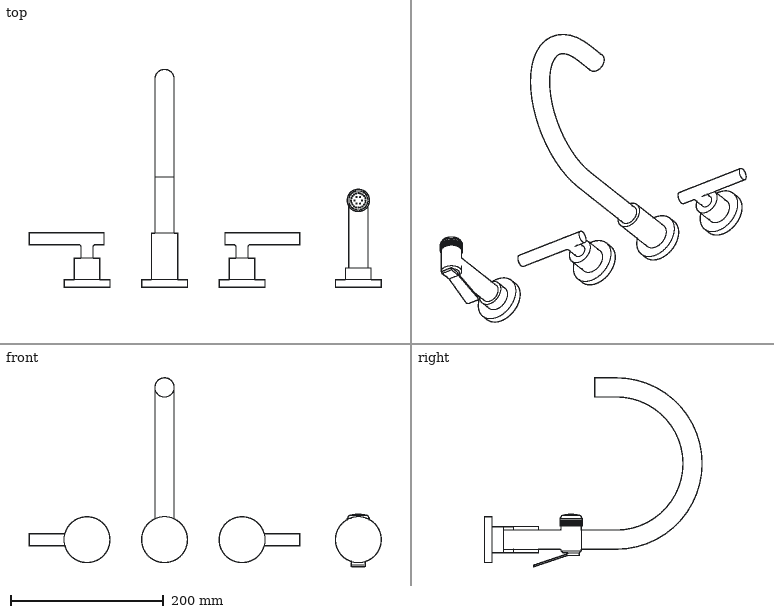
import cadquery as cq
import math


handle_pitch = 101.6
spray_pitch = 152.4
spray_x = handle_pitch + spray_pitch

flange_radius = 30.2
flange_thickness = 10.16
collar_radius = 16.9
handle_collar_top = 38.1
spray_collar_top = 25.4

tube_radius = 12.7
sleeve_radius = 17.4
sleeve_top = 71.12
bend_radius = 99.8
spout_reach = 285.69
bend_start = spout_reach - tube_radius - bend_radius
outlet_length = 28.5

bar_radius = 8.0
bar_y = 63.6
bar_short_end = 22.4
bar_long_end = 75.88
stem_radius = 8.0
stem_fillet = 2.5

head_y = 113.9
head_radius = 13.4
head_top = 17.8
head_bottom = -17.3
head_chamfer = 2.7
head_fillet = 1.5

nozzle_radius = 14.7
nozzle_top = 33.5
knurl_top = 25.6
nozzle_shoulder = 27.6
crown_radius = 12.5
crown_edge = 31.6
flute_count = 40
flute_radius = 0.6
jet_radius = 0.7
jet_depth = 4.0
jet_rings = ((4.9, 6), (9.6, 20))

lever_tip_y = 64.6
lever_tip_bottom = -35.72
lever_thickness = 2.3
lever_angle = 18.5
lever_root_width = 15.0
lever_tip_width = 19.4
lever_corner = 3.0
pad_bottom = -20.9
pad_back_y = head_y + 10.6
pad_front_y = head_y - 4.8


def cylinder_y(x, radius, start, end):
    """Cylinder along Y, centred on the height Z = 0."""
    return cq.Workplane("XZ", origin=(x, start, 0)).circle(radius).extrude(start - end)


def wall_mount(x, radius, top):
    """Wall flange with a plain collar on it."""
    flange = cylinder_y(x, flange_radius, 0, flange_thickness)
    return flange.union(cylinder_y(x, radius, flange_thickness, top))


def make_spout():
    path = (
        cq.Workplane("YZ")
        .moveTo(sleeve_top, 0)
        .lineTo(bend_start, 0)
        .threePointArc((bend_start + bend_radius, bend_radius), (bend_start, 2 * bend_radius))
        .lineTo(bend_start - outlet_length, 2 * bend_radius)
    )
    tube = cq.Workplane("XZ", origin=(0, sleeve_top, 0)).circle(tube_radius).sweep(path)
    return wall_mount(0, sleeve_radius, sleeve_top).union(tube)


def make_handle(x, mirrored):
    """Handle whose long end points along -X, or along +X when mirrored."""
    bar = (
        cq.Workplane("YZ", origin=(-bar_long_end, bar_y, 0))
        .circle(bar_radius)
        .extrude(bar_long_end + bar_short_end)
    )
    stem = cylinder_y(0, stem_radius, handle_collar_top, bar_y)
    joint_reach = 1.5 * stem_radius
    joint = cq.selectors.BoxSelector(
        (-joint_reach, bar_y - joint_reach, -joint_reach),
        (joint_reach, bar_y + bar_radius / 2, joint_reach),
    )
    grip = stem.union(bar).edges(joint).fillet(stem_fillet)
    handle = wall_mount(0, collar_radius, handle_collar_top).union(grip)
    if mirrored:
        handle = handle.mirror("YZ")
    return handle.translate((x, 0, 0))


def make_sprayer():
    head = (
        cq.Workplane("XY", origin=(spray_x, head_y, head_bottom))
        .circle(head_radius)
        .extrude(head_top - head_bottom)
        .faces("<Z")
        .chamfer(head_chamfer)
    )
    tube = cylinder_y(spray_x, tube_radius, spray_collar_top, head_y)
    joint_reach = 1.5 * tube_radius
    joint_height = (tube_radius - head_bottom - head_chamfer) / 2
    joint = cq.selectors.BoxSelector(
        (spray_x - joint_reach, head_y - joint_reach, -joint_height),
        (spray_x + joint_reach, head_y + joint_reach, joint_height),
    )
    spray = tube.union(head).edges(joint).fillet(head_fillet)
    return wall_mount(spray_x, collar_radius, spray_collar_top).union(spray)


def make_nozzle():
    crown_rise = nozzle_top - crown_edge
    crown_sphere = (crown_radius**2 + crown_rise**2) / (2 * crown_rise)
    half_angle = math.asin(crown_radius / crown_sphere) / 2
    crown_middle = (
        crown_sphere * math.sin(half_angle),
        nozzle_top - crown_sphere * (1 - math.cos(half_angle)),
    )
    body = (
        cq.Workplane("XZ")
        .moveTo(0, head_top)
        .lineTo(nozzle_radius, head_top)
        .lineTo(nozzle_radius, nozzle_shoulder)
        .lineTo(crown_radius, crown_edge)
        .threePointArc(crown_middle, (0, nozzle_top))
        .close()
        .revolve(360, (0, 0), (0, 1))
    )
    flutes = (
        cq.Workplane("XY", origin=(0, 0, head_top))
        .polarArray(nozzle_radius, 0, 360, flute_count)
        .circle(flute_radius)
        .extrude(knurl_top - head_top)
    )
    body = body.cut(flutes)
    for ring_radius, count in jet_rings:
        jets = (
            cq.Workplane("XY", origin=(0, 0, nozzle_top))
            .polarArray(ring_radius, 0, 360, count)
            .circle(jet_radius)
            .extrude(-jet_depth)
        )
        body = body.cut(jets)
    return body.translate((spray_x, head_y, 0))


def make_lever():
    rise = math.tan(math.radians(lever_angle))
    plate_height = lever_thickness / math.cos(math.radians(lever_angle))
    plate_length = pad_front_y - lever_tip_y
    bottom_at_pad = lever_tip_bottom + plate_length * rise
    back_run = (pad_bottom - bottom_at_pad) / rise
    profile = (
        cq.Workplane("YZ")
        .moveTo(lever_tip_y, lever_tip_bottom)
        .lineTo(pad_front_y + back_run, pad_bottom)
        .lineTo(pad_back_y, pad_bottom)
        .lineTo(pad_back_y, head_bottom)
        .lineTo(pad_front_y, head_bottom)
        .lineTo(pad_front_y, bottom_at_pad + plate_height)
        .lineTo(lever_tip_y, lever_tip_bottom + plate_height)
        .close()
        .extrude(lever_tip_width / 2, both=True)
    )
    outline = (
        cq.Workplane("XY", origin=(0, 0, lever_tip_bottom))
        .moveTo(-lever_tip_width / 2, lever_tip_y)
        .lineTo(lever_tip_width / 2, lever_tip_y)
        .lineTo(lever_root_width / 2, pad_front_y)
        .lineTo(lever_root_width / 2, pad_back_y)
        .lineTo(-lever_root_width / 2, pad_back_y)
        .lineTo(-lever_root_width / 2, pad_front_y)
        .close()
        .extrude(head_bottom - lever_tip_bottom)
        .edges("|Z and <Y")
        .fillet(lever_corner)
    )
    return profile.intersect(outline).translate((spray_x, 0, 0))


spout = make_spout()
handles = [make_handle(x, mirrored=x > 0) for x in (-handle_pitch, handle_pitch)]
sprayer = make_sprayer()
nozzle = make_nozzle()
lever = make_lever()

result = cq.Compound.makeCompound([
    spout.val(),
    *[handle.val() for handle in handles],
    sprayer.val(),
    nozzle.val(),
    lever.val(),
])